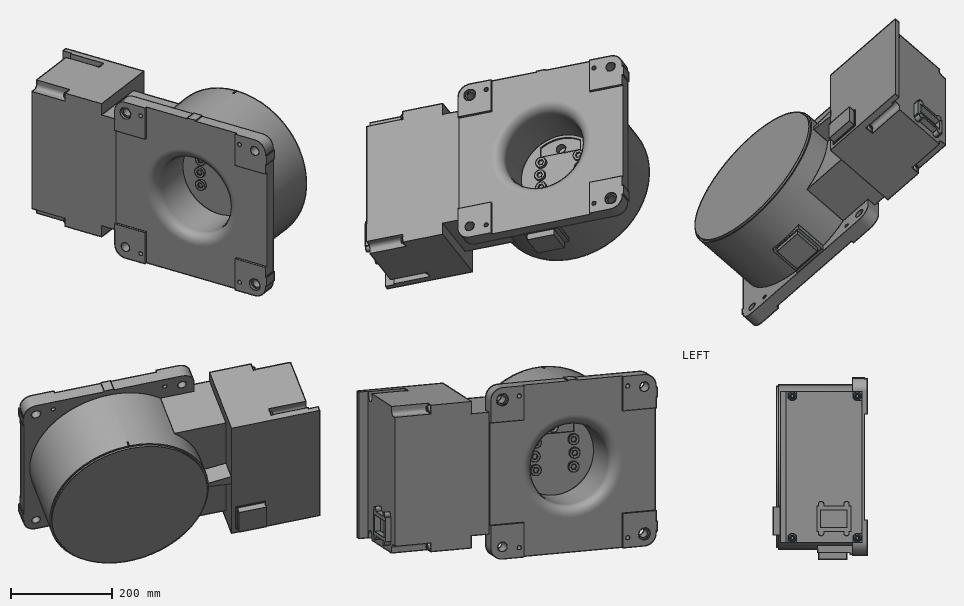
import cadquery as cq
import math


PLATE_SIDE = 350.0
PLATE_HALF = PLATE_SIDE / 2
RELIEF_DEPTH = 5.0
PLATE_BACK = 29.5
CORNER_RADIUS = 25.0
PAD_SIDE = 70.0
RELIEF_HALF_WIDTH = PLATE_HALF - PAD_SIDE

TAB_WIDTH = 20.0
TOP_TAB_HEIGHT = 2.0
SIDE_TAB_HEIGHT = 2.55
SIDE_TAB_Z = 136.5

MOUNT_HOLE_OFFSET = 150.0
BOLT_HOLE_DIA = 19.5
DOWEL_HOLE_DIA = 17.5
DOWEL_SEAT_DIA = 24.5
DOWEL_SEAT_DEPTH = 7.0
SMALL_HOLE_DIA = 8.5
SMALL_HOLE_X = 115.0
SMALL_HOLE_Z = 155.0

HOUSING_RADIUS = 163.5
HOUSING_BACK = 175.5
TABLE_RADIUS = 160.0
TABLE_THICKNESS = 4.5
MARK_WIDTH = 1.5
MARK_LENGTH = 11.0
MARK_DEPTH = 1.5

BORE_RADIUS = 83.5
BELL_RADIUS = 21.0
BORE_FLOOR = 109.0

HEX_SIDES = 6

FLOOR_SCREW_RADIUS = 11.0
FLOOR_SCREW_HEIGHT = 5.5
FLOOR_SCREW_SOCKET = 12.0
FLOOR_SCREW_SOCKET_DEPTH = 3.5
MIDDLE_SCREW_X = 42.0
OUTER_SCREW_X = 40.0
OUTER_SCREW_Z = 28.0
RECESS_HALF_WIDTH = 42.0
RECESS_BOTTOM = 43.0
RECESS_ARC_RADIUS = 77.0
RECESS_DEPTH = 3.0
CABLE_HOLE_Z = 54.0
CABLE_HOLE_DIA = 20.0
CABLE_HOLE_DEPTH = 17.0

BOX_LEFT = -374.0
BOX_RIGHT = -212.0
BOX_FRONT = 11.0
BOX_BACK = 171.5
BOX_HALF_HEIGHT = 149.5
COVER_LEFT = -393.5
COVER_THICKNESS = 11.0

NECK_RIGHT = -104.5
NECK_BACK = 131.0
NECK_HALF_HEIGHT = 124.5
REAR_NECK_BACK = 169.5
REAR_NECK_BOX_HEIGHT = 20.5
REAR_NECK_HOUSING_HEIGHT = 9.0

SLOT_WIDTH = 17.5
SLOT_END = -297.5
SLOT_AXIS_Z = 140.5
SLOT_AXES_Y = (BOX_FRONT + SLOT_WIDTH / 2, 148.5)
BOX_SCREW_RADIUS = 8.0
BOX_SCREW_TIP_RADIUS = 5.0
BOX_SCREW_HEIGHT = 5.0
BOX_SCREW_SOCKET = 6.0
BOX_SCREW_SOCKET_DEPTH = 3.5

FRAME_HEIGHT = 12.0
FRAME_CENTER_Y = 66.0
FRAME_CENTER_Z = -102.0
FRAME_WIDTH = 67.5
FRAME_LENGTH = 50.0
WINDOW_WIDTH = 52.5
WINDOW_LENGTH = 34.0
LUG_WIDTH = 11.0
LUG_PITCH = 50.0
LUG_SPAN = 68.0

REAR_PLUG_SEAT_X = (-281.5, -220.5)
REAR_PLUG_SEAT_Z = (-138.0, -76.5)
REAR_PLUG_SEAT_THICKNESS = 1.5
REAR_PLUG_X = (-280.0, -223.0)
REAR_PLUG_Z = (-135.0, -79.0)
REAR_PLUG_BACK = 186.0

LOWER_SEAT_X = (-49.5, 23.0)
LOWER_SEAT_BACK = 98.0
LOWER_SEAT_BOTTOM = -169.5
LOWER_LIP_BACK = 34.0
LOWER_LIP_BOTTOM = -173.0
LOWER_PLUG_X = (-44.0, 13.0)
LOWER_PLUG_Y = (40.5, 96.5)
LOWER_PLUG_BOTTOM = -183.0


def block(x_range, y_range, z_range):
    """Box between the given limits."""
    sizes = [high - low for low, high in (x_range, y_range, z_range)]
    corner = (x_range[0], y_range[0], z_range[0])
    return cq.Workplane("XY").box(*sizes, centered=False).translate(corner)


def rod_y(radius, y_start, y_end, x=0, z=0):
    """Cylinder along Y."""
    start = cq.Vector(x, y_start, z)
    return cq.Workplane(cq.Solid.makeCylinder(radius, y_end - y_start, start, cq.Vector(0, 1, 0)))


def rod_x(radius, x_start, x_end, y, z):
    """Cylinder along X."""
    start = cq.Vector(x_start, y, z)
    return cq.Workplane(cq.Solid.makeCylinder(radius, x_end - x_start, start, cq.Vector(1, 0, 0)))


def make_plate():
    """Square plate with four raised corner pads and locating tabs."""
    half = (-PLATE_HALF, PLATE_HALF)
    relief = (-RELIEF_HALF_WIDTH, RELIEF_HALF_WIDTH)
    plate = block(half, (0, PLATE_BACK), half).edges("|Y").fillet(CORNER_RADIUS)
    plate = plate.cut(block(half, (0, RELIEF_DEPTH), relief))
    plate = plate.cut(block(relief, (0, RELIEF_DEPTH), half))

    half_tab = TAB_WIDTH / 2
    top_tab = (0, PLATE_HALF + TOP_TAB_HEIGHT)
    plate = plate.union(block((-half_tab, half_tab), (RELIEF_DEPTH, PLATE_BACK), top_tab))
    side_tab = (PLATE_HALF - CORNER_RADIUS, PLATE_HALF + SIDE_TAB_HEIGHT)
    for z in (-SIDE_TAB_Z, SIDE_TAB_Z):
        plate = plate.union(block(side_tab, (0, PLATE_BACK), (z - half_tab, z + half_tab)))
    return plate


def cut_pad_holes(body):
    """One mounting hole and one small hole in every pad; two opposite pads take seated dowels."""
    for side_x in (-1, 1):
        for side_z in (-1, 1):
            x = side_x * MOUNT_HOLE_OFFSET
            z = side_z * MOUNT_HOLE_OFFSET
            if side_x != side_z:
                body = body.cut(rod_y(DOWEL_HOLE_DIA / 2, 0, PLATE_BACK, x, z))
                body = body.cut(rod_y(DOWEL_SEAT_DIA / 2, 0, DOWEL_SEAT_DEPTH, x, z))
            else:
                body = body.cut(rod_y(BOLT_HOLE_DIA / 2, 0, PLATE_BACK, x, z))
            small_x = side_x * SMALL_HOLE_X
            small_z = side_z * SMALL_HOLE_Z
            body = body.cut(rod_y(SMALL_HOLE_DIA / 2, 0, PLATE_BACK, small_x, small_z))
    return body


def make_rear_neck():
    """Low web behind the main neck, tapering from the drive box to the housing wall."""
    box_half = REAR_NECK_BOX_HEIGHT / 2
    housing_half = REAR_NECK_HOUSING_HEIGHT / 2
    outline = (
        cq.Workplane("XZ", origin=(0, REAR_NECK_BACK, 0))
        .moveTo(BOX_RIGHT, -box_half)
        .lineTo(-HOUSING_RADIUS, -housing_half)
        .lineTo(NECK_RIGHT, -housing_half)
        .lineTo(NECK_RIGHT, housing_half)
        .lineTo(-HOUSING_RADIUS, housing_half)
        .lineTo(BOX_RIGHT, box_half)
        .close()
    )
    return outline.extrude(REAR_NECK_BACK - NECK_BACK)


def make_drive_box():
    """Drive box with its rear cover and the two necks that reach into the housing."""
    height = (-BOX_HALF_HEIGHT, BOX_HALF_HEIGHT)
    neck_height = (-NECK_HALF_HEIGHT, NECK_HALF_HEIGHT)
    box = block((BOX_LEFT, BOX_RIGHT), (BOX_FRONT, BOX_BACK), height)
    box = box.union(block((COVER_LEFT, BOX_RIGHT), (BOX_BACK - COVER_THICKNESS, BOX_BACK), height))
    box = box.union(block((BOX_RIGHT, NECK_RIGHT), (BOX_FRONT, NECK_BACK), neck_height))
    return box.union(make_rear_neck())


def make_box_screw(y, z):
    """Tapered screw head with a hexagon socket, standing on the end of a slot."""
    seat = cq.Vector(SLOT_END, y, z)
    left = cq.Vector(-1, 0, 0)
    cone = cq.Solid.makeCone(BOX_SCREW_RADIUS, BOX_SCREW_TIP_RADIUS, BOX_SCREW_HEIGHT, seat, left)
    tip = cq.Workplane("YZ", origin=(SLOT_END - BOX_SCREW_HEIGHT, y, z))
    socket = tip.polygon(HEX_SIDES, BOX_SCREW_SOCKET).extrude(BOX_SCREW_SOCKET_DEPTH)
    return cq.Workplane(cone).cut(socket)


def cut_screw_slots(body):
    """Four round-bottomed slots with a screw in each; the front pair also opens to the front face."""
    for side_z in (-1, 1):
        z = side_z * SLOT_AXIS_Z
        z_range = sorted((z, side_z * BOX_HALF_HEIGHT))
        for y in SLOT_AXES_Y:
            y_range = (y - SLOT_WIDTH / 2, y + SLOT_WIDTH / 2)
            body = body.cut(rod_x(SLOT_WIDTH / 2, BOX_LEFT, SLOT_END, y, z))
            body = body.cut(block((BOX_LEFT, SLOT_END), y_range, z_range))
        floor_z = z - side_z * SLOT_WIDTH / 2
        open_z_range = sorted((floor_z, side_z * BOX_HALF_HEIGHT))
        body = body.cut(block((BOX_LEFT, SLOT_END), (BOX_FRONT, SLOT_AXES_Y[0]), open_z_range))
        for y in SLOT_AXES_Y:
            body = body.union(make_box_screw(y, z))
    return body


def make_socket_frame():
    """Rectangular frame with a round lug at each corner."""
    face = cq.Workplane("YZ", origin=(BOX_LEFT - FRAME_HEIGHT, FRAME_CENTER_Y, FRAME_CENTER_Z))
    frame = face.rect(FRAME_WIDTH, FRAME_LENGTH).extrude(FRAME_HEIGHT)
    lug_bars = face.pushPoints([(-LUG_PITCH / 2, 0), (LUG_PITCH / 2, 0)])
    frame = frame.union(lug_bars.slot2D(LUG_SPAN, LUG_WIDTH, 90).extrude(FRAME_HEIGHT))
    return frame.cut(face.rect(WINDOW_WIDTH, WINDOW_LENGTH).extrude(FRAME_HEIGHT))


def make_rear_plug():
    """Plug on a thin seat, behind the drive box."""
    seat_back = BOX_BACK + REAR_PLUG_SEAT_THICKNESS
    seat = block(REAR_PLUG_SEAT_X, (BOX_BACK, seat_back), REAR_PLUG_SEAT_Z)
    return seat.union(block(REAR_PLUG_X, (BOX_BACK, REAR_PLUG_BACK), REAR_PLUG_Z))


def make_lower_plug():
    """Plug and its seat under the housing, with a lip against the plate."""
    seat_z = (LOWER_SEAT_BOTTOM, -BORE_RADIUS - BELL_RADIUS)
    lip_z = (LOWER_LIP_BOTTOM, LOWER_SEAT_BOTTOM)
    seat = block(LOWER_SEAT_X, (PLATE_BACK, LOWER_SEAT_BACK), seat_z)
    seat = seat.union(block(LOWER_SEAT_X, (PLATE_BACK, LOWER_LIP_BACK), lip_z))
    return seat.union(block(LOWER_PLUG_X, LOWER_PLUG_Y, (LOWER_PLUG_BOTTOM, LOWER_SEAT_BOTTOM)))


def make_bore():
    """Blind bore whose mouth flares out in a quarter round, as a cutting tool."""
    mouth_radius = BORE_RADIUS + BELL_RADIUS
    bell_end = RELIEF_DEPTH + BELL_RADIUS
    arc_offset = BELL_RADIUS * math.sqrt(0.5)
    arc_middle = (mouth_radius - arc_offset, bell_end - arc_offset)
    profile = (
        cq.Workplane("XY")
        .moveTo(0, RELIEF_DEPTH)
        .lineTo(mouth_radius, RELIEF_DEPTH)
        .threePointArc(arc_middle, (BORE_RADIUS, bell_end))
        .lineTo(BORE_RADIUS, BORE_FLOOR)
        .lineTo(0, BORE_FLOOR)
        .close()
    )
    return profile.revolve(360, (0, 0, 0), (0, 1, 0))


def make_cable_recess():
    """Arched recess in the bore floor with a blind cable hole, as a cutting tool."""
    shoulder_z = math.sqrt(RECESS_ARC_RADIUS**2 - RECESS_HALF_WIDTH**2)
    outline = (
        cq.Workplane("XZ", origin=(0, BORE_FLOOR, 0))
        .moveTo(-RECESS_HALF_WIDTH, RECESS_BOTTOM)
        .lineTo(RECESS_HALF_WIDTH, RECESS_BOTTOM)
        .lineTo(RECESS_HALF_WIDTH, shoulder_z)
        .threePointArc((0, RECESS_ARC_RADIUS), (-RECESS_HALF_WIDTH, shoulder_z))
        .close()
    )
    hole = rod_y(CABLE_HOLE_DIA / 2, BORE_FLOOR, BORE_FLOOR + CABLE_HOLE_DEPTH, 0, CABLE_HOLE_Z)
    return outline.extrude(-RECESS_DEPTH).union(hole)


def make_floor_screw(x, z):
    """Screw head with a hexagon socket, standing on the bore floor."""
    head_front = BORE_FLOOR - FLOOR_SCREW_HEIGHT
    head = rod_y(FLOOR_SCREW_RADIUS, head_front, BORE_FLOOR, x, z)
    socket = cq.Workplane("XZ", origin=(x, head_front, z)).polygon(HEX_SIDES, FLOOR_SCREW_SOCKET)
    return head.cut(socket.extrude(-FLOOR_SCREW_SOCKET_DEPTH))


def make_index_mark():
    """Short groove on top of the housing, next to the table, as a cutting tool."""
    return block(
        (-MARK_WIDTH / 2, MARK_WIDTH / 2),
        (HOUSING_BACK - MARK_LENGTH, HOUSING_BACK),
        (HOUSING_RADIUS - MARK_DEPTH, HOUSING_RADIUS),
    )


def make_housing():
    """Plate, round housing, drive box and plugs as one body."""
    housing = make_plate().union(rod_y(HOUSING_RADIUS, PLATE_BACK, HOUSING_BACK))
    housing = housing.union(cut_screw_slots(make_drive_box()))
    housing = housing.union(make_socket_frame())
    housing = housing.union(make_rear_plug())
    housing = housing.union(make_lower_plug())
    housing = housing.cut(make_index_mark())
    housing = housing.cut(make_bore())
    housing = housing.cut(make_cable_recess())
    for side_x in (-1, 1):
        for side_z in (-1, 0, 1):
            screw_x = OUTER_SCREW_X if side_z else MIDDLE_SCREW_X
            housing = housing.union(make_floor_screw(side_x * screw_x, side_z * OUTER_SCREW_Z))
    return cut_pad_holes(housing)


def make_table():
    """Rotary table: a disc on the back of the housing."""
    return rod_y(TABLE_RADIUS, HOUSING_BACK, HOUSING_BACK + TABLE_THICKNESS)


housing = make_housing()
table = make_table()
result = cq.Compound.makeCompound([housing.val(), table.val()])